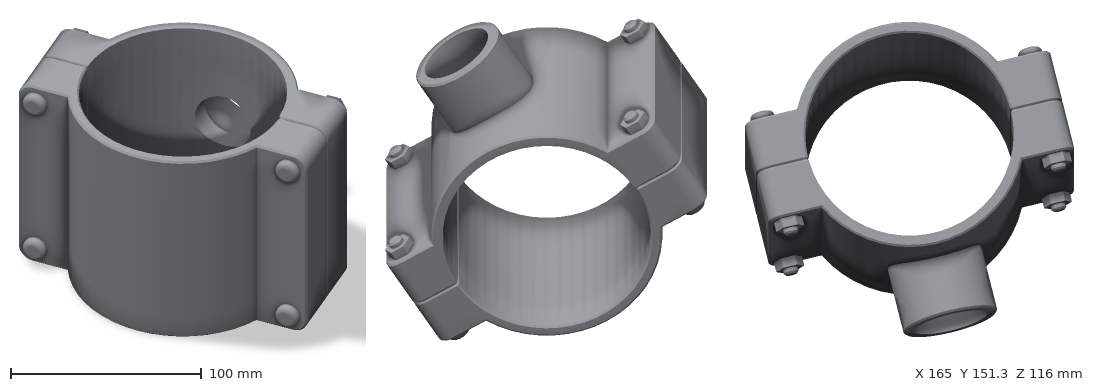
import cadquery as cq
import math

clamp_width = 165.0
clamp_height = 116.0
shell_radius = 60.5
bore_radius = 54.6
lug_thickness = 27.2
lug_corner_radius = 8.2
edge_chamfer = 1.0

socket_end_y = 90.8
socket_diameter = 50.7
socket_bore_diameter = 39.0
port_diameter = 32.0
port_end_y = 65.2

bolt_inset = 10.2
bolt_diameter = 8.0
bolt_tip_y = 35.3
head_diameter = 13.0
head_height = 4.6
head_rounding = 3.0
nut_width_across_flats = 13.0
nut_height = 5.1

bolt_x = clamp_width / 2 - bolt_inset
bolt_z = clamp_height / 2 - bolt_inset

bore = cq.Workplane("XY").circle(bore_radius).extrude(clamp_height, both=True)


def cylinder_along_y(diameter, start_y, end_y):
    """Solid cylinder around the Y axis between two Y positions."""
    start_plane = cq.Workplane("XZ", origin=(0, start_y, 0))
    return start_plane.circle(diameter / 2).extrude(start_y - end_y)


def is_bore_edge(edge):
    """True for a circular edge that lies on the main bore."""
    return math.isclose(edge.radius(), bore_radius, abs_tol=0.002)


def half_clamp(chamfer_bore_ends):
    """Half of the clamp on the +Y side, with its parting face at Y = 0.

    The parting edges are always chamfered, the two end rims of the bore only on request.
    """
    lugs = (
        cq.Workplane("XY")
        .box(clamp_width, lug_thickness, clamp_height, centered=(True, False, True))
        .edges("|Y").fillet(lug_corner_radius)
        .faces(">Y").chamfer(edge_chamfer)
    )
    shell = (
        cq.Workplane("XY", origin=(0, 0, -clamp_height / 2))
        .circle(shell_radius)
        .extrude(clamp_height)
        .edges("%CIRCLE").chamfer(edge_chamfer)
    )
    back_side = cq.Workplane("XY").box(
        clamp_width, clamp_width, clamp_height, centered=(True, False, True)
    )
    half = lugs.union(shell.intersect(back_side)).cut(bore)

    chamfered = half.faces("<Y").edges()
    if chamfer_bore_ends:
        bore_ends = half.edges("%CIRCLE").filter(is_bore_edge)
        chamfered = chamfered.add(bore_ends)
    return chamfered.chamfer(edge_chamfer)


def bolt_and_nut():
    """Button-head bolt along Y through both lugs, with a hex nut on the back."""
    shank = (
        cylinder_along_y(bolt_diameter, -lug_thickness, bolt_tip_y)
        .faces(">Y").chamfer(edge_chamfer)
    )
    head = (
        cylinder_along_y(head_diameter, -lug_thickness - head_height, -lug_thickness)
        .faces("<Y").edges().fillet(head_rounding)
    )
    nut_corner_diameter = nut_width_across_flats / math.cos(math.pi / 6)
    nut = (
        cq.Workplane("XZ", origin=(0, lug_thickness, 0))
        .polygon(6, nut_corner_diameter)
        .extrude(-nut_height)
    )
    return shank.union(head).union(nut)


socket = (
    cylinder_along_y(socket_diameter, 0, socket_end_y)
    .faces(">Y").chamfer(edge_chamfer)
    .cut(bore)
)
back_half = (
    half_clamp(chamfer_bore_ends=False)
    .union(socket)
    .cut(cylinder_along_y(port_diameter, 0, socket_end_y))
    .cut(cylinder_along_y(socket_bore_diameter, port_end_y, socket_end_y))
)

front_half = half_clamp(chamfer_bore_ends=True).mirror("XZ")

result = back_half.union(front_half)
bolt = bolt_and_nut()
for x in (-bolt_x, bolt_x):
    for z in (-bolt_z, bolt_z):
        result = result.union(bolt.translate((x, 0, z)))